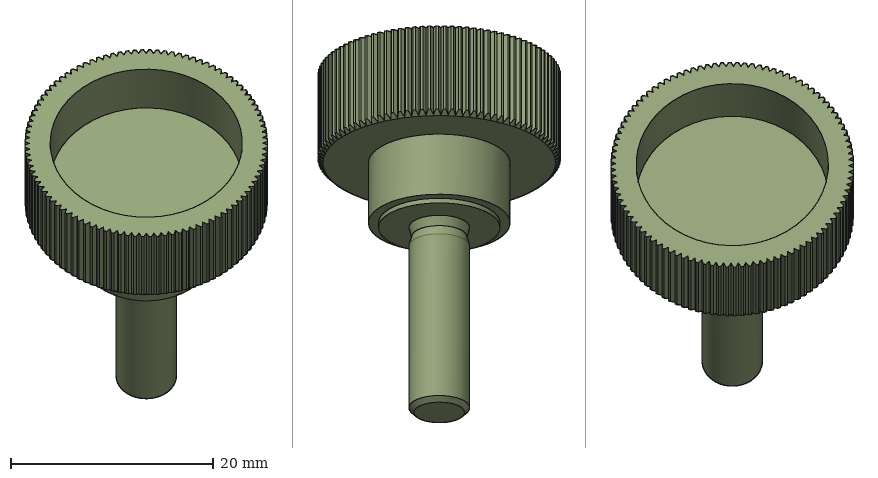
import cadquery as cq
import math

head_diameter = 24.0
head_height = 9.5
head_chamfer = 0.5
recess_diameter = 19.0
recess_depth = 6.0

tooth_count = 100
groove_width = 0.5
groove_angle = 60.0

hub_diameter = 14.0
hub_length = 6.5
collar_diameter = 12.0
collar_length = 0.5

stud_diameter = 6.0
stud_length = 20.0
stud_chamfer = 0.5
undercut_length = 2.0
undercut_taper = 15.0

hub_bottom = collar_length
head_bottom = hub_bottom + hub_length
head_top = head_bottom + head_height
stud_end = -stud_length


def polar(radius, angle):
    return (radius * math.cos(angle), radius * math.sin(angle))


def make_knurled_prism():
    """Toothed prism: arc crests joined by straight flanks that meet in V roots, one root on +X."""
    head_radius = head_diameter / 2
    pitch_angle = 2 * math.pi / tooth_count
    half_groove = math.asin(groove_width / 2 / head_radius)
    half_crest = pitch_angle / 2 - half_groove
    groove_depth = groove_width / 2 / math.tan(math.radians(groove_angle / 2))
    root_radius = head_radius * math.cos(half_groove) - groove_depth

    outline = cq.Workplane("XY").workplane(offset=head_bottom).moveTo(root_radius, 0)
    for tooth in range(tooth_count):
        root = tooth * pitch_angle
        crest = root + pitch_angle / 2
        if tooth > 0:
            outline = outline.lineTo(*polar(root_radius, root))
        outline = outline.lineTo(*polar(head_radius, crest - half_crest))
        outline = outline.threePointArc(polar(head_radius, crest), polar(head_radius, crest + half_crest))
    return outline.close().extrude(head_height)


def make_head():
    """Knurled head, chamfered around its lower rim and recessed from the top."""
    chamfered_blank = (
        cq.Workplane("XY")
        .workplane(offset=head_bottom)
        .circle(head_diameter / 2)
        .extrude(head_height)
        .faces("<Z")
        .chamfer(head_chamfer)
    )
    recess = (
        cq.Workplane("XY")
        .workplane(offset=head_top - recess_depth)
        .circle(recess_diameter / 2)
        .extrude(recess_depth)
    )
    return make_knurled_prism().intersect(chamfered_blank).cut(recess)


def make_hub_and_stud():
    """Hub, collar and undercut stud, revolved about Z from one half profile."""
    hub_radius = hub_diameter / 2
    collar_radius = collar_diameter / 2
    stud_radius = stud_diameter / 2
    waist_radius = stud_radius - undercut_length / 2 * math.tan(math.radians(undercut_taper))

    profile = (
        cq.Workplane("XZ")
        .moveTo(0, head_bottom)
        .lineTo(hub_radius, head_bottom)
        .lineTo(hub_radius, hub_bottom)
        .lineTo(collar_radius, hub_bottom)
        .lineTo(collar_radius, 0)
        .lineTo(stud_radius, 0)
        .lineTo(waist_radius, -undercut_length / 2)
        .lineTo(stud_radius, -undercut_length)
        .lineTo(stud_radius, stud_end + stud_chamfer)
        .lineTo(stud_radius - stud_chamfer, stud_end)
        .lineTo(0, stud_end)
        .close()
    )
    return profile.revolve(360, (0, 0, 0), (0, 1, 0))


result = make_hub_and_stud().union(make_head())